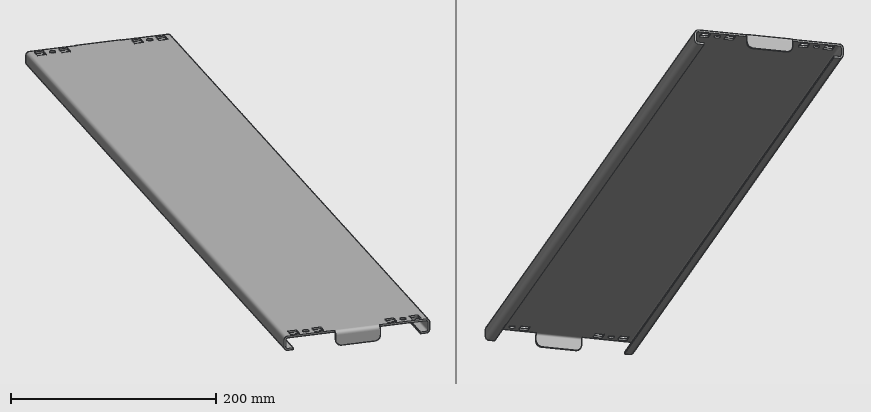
import cadquery as cq
import math

OVERALL_LENGTH = 799.0
WIDTH = 150.0
HEIGHT = 15.0

SHEET = 2.0
BEND_OUTER = 4.0
BEND_INNER = BEND_OUTER - SHEET
LIP_LENGTH = 9.5

TAB_WIDTH = 46.0
TAB_CORNER_RADIUS = 6.0
TAB_OVERHANG = BEND_OUTER

SHEET_LENGTH = OVERALL_LENGTH - 2 * TAB_OVERHANG

HOLE_EDGE_DISTANCE = 8.0
ROUND_HOLE_Y = 50.0
ROUND_HOLE_DIAMETER = 6.0
SQUARE_HOLE_SPACING = 12.5
SQUARE_HOLE_SIDE = 9.0

TOP = HEIGHT / 2
BOTTOM = -HEIGHT / 2
HALF_WIDTH = WIDTH / 2
HALF_LENGTH = OVERALL_LENGTH / 2


def rounded_bar(half_width, top, bottom, radius):
    """Bar of rounded rectangular section running along the full length of the top sheet."""
    block = cq.Workplane("YZ").center(0, (top + bottom) / 2)
    block = block.rect(2 * half_width, top - bottom).extrude(SHEET_LENGTH / 2, both=True)
    return block.edges("|X").fillet(radius)


def make_channel():
    """Top sheet with both long sides folded down and returned inward as lips."""
    outside = rounded_bar(HALF_WIDTH, TOP, BOTTOM, BEND_OUTER)
    inside = rounded_bar(HALF_WIDTH - SHEET, TOP - SHEET, BOTTOM + SHEET, BEND_INNER)
    opening_width = WIDTH - 2 * LIP_LENGTH
    opening = cq.Workplane("XY", origin=(0, 0, BOTTOM)).rect(SHEET_LENGTH, opening_width)
    return outside.cut(inside).cut(opening.extrude(HEIGHT / 2))


def make_tab():
    """Tab at the +X end: flat root, quarter bend and downward leg."""
    bend_start = HALF_LENGTH - BEND_OUTER
    root_start = bend_start - SHEET
    bend_centre_z = TOP - BEND_OUTER
    diagonal = math.sqrt(0.5)
    tab = (
        cq.Workplane("XZ")
        .moveTo(root_start, TOP)
        .lineTo(bend_start, TOP)
        .threePointArc(
            (bend_start + BEND_OUTER * diagonal, bend_centre_z + BEND_OUTER * diagonal),
            (HALF_LENGTH, bend_centre_z),
        )
        .lineTo(HALF_LENGTH, BOTTOM)
        .lineTo(HALF_LENGTH - SHEET, BOTTOM)
        .lineTo(HALF_LENGTH - SHEET, bend_centre_z)
        .threePointArc(
            (bend_start + BEND_INNER * diagonal, bend_centre_z + BEND_INNER * diagonal),
            (bend_start, TOP - SHEET),
        )
        .lineTo(root_start, TOP - SHEET)
        .close()
        .extrude(TAB_WIDTH / 2, both=True)
    )
    lower_corners = tab.edges("|X").edges("<Z")
    return lower_corners.fillet(TAB_CORNER_RADIUS)


def corner_points(hole_y):
    """Workplane on the top face with one point near each of the four corners."""
    hole_x = SHEET_LENGTH / 2 - HOLE_EDGE_DISTANCE
    top_plane = cq.Workplane("XY", origin=(0, 0, TOP))
    return top_plane.rect(2 * hole_x, 2 * hole_y, forConstruction=True).vertices()


def punch_corner_holes(body):
    """Round and square holes through the top sheet at all four corners."""
    round_holes = corner_points(ROUND_HOLE_Y).circle(ROUND_HOLE_DIAMETER / 2)
    body = body.cut(round_holes.extrude(-SHEET))
    for offset in (-SQUARE_HOLE_SPACING, SQUARE_HOLE_SPACING):
        square_holes = corner_points(ROUND_HOLE_Y + offset).rect(SQUARE_HOLE_SIDE, SQUARE_HOLE_SIDE)
        body = body.cut(square_holes.extrude(-SHEET))
    return body


tab = make_tab()
result = make_channel().union(tab).union(tab.mirror("YZ"))
result = punch_corner_holes(result)